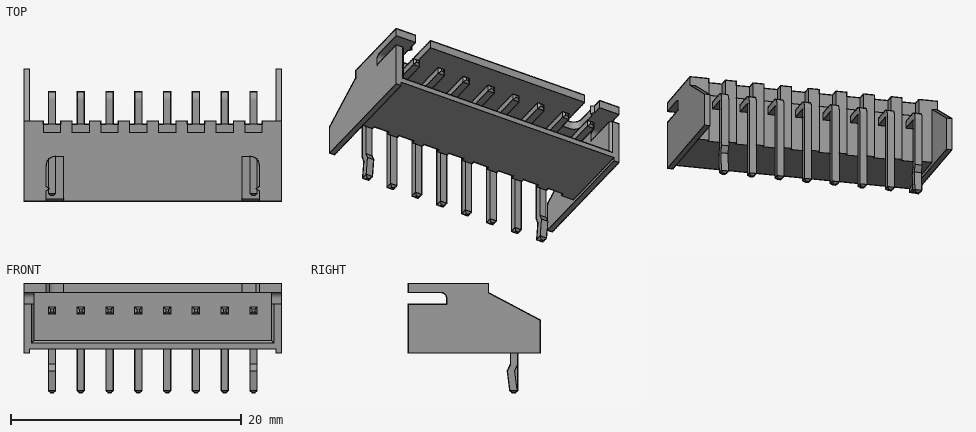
import cadquery as cq


width = 22.4
top_z = 6.05
total_height = 9.5
roof_thickness = 0.8
roof_underside = top_z - roof_thickness
shroud_depth = 7.0
total_depth = 11.5
foot_height = 0.35
wing_thickness = 0.5
wing_rear_z = 2.87

side_wall = 0.87
floor_thickness = 0.73
floor_z = foot_height + floor_thickness
cavity_depth = 5.2
mouth_chamfer = 0.22

window_depth = 3.35
window_bottom = 4.25
window_fillet = 0.5

key_offset = 1.95
key_width = 1.5
key_depth = 3.9
key_radius = 0.75
ridge_y = 1.1
ridge_half_length = 0.2
ridge_height = 0.28

pin_count = 8
pitch = 2.5
pin_size = 0.64
pin_z = 3.7
pin_front_y = 0.5
pin_rear_y = 9.53
pin_bottom_z = top_z - total_height
bend_radius = 0.75
tip_length = 0.2
tip_size = 0.23
kink_top_z = -0.95
kink_peak_z = -1.55
kink_shift = 0.28
kink_end_shift = 0.06

recess_width = 1.5
recess_depth = 0.3
notch_depth = 1.03
notch_floor_z = 4.6

pin_positions = [pitch * (i - (pin_count - 1) / 2) for i in range(pin_count)]
half_width = width / 2


def box(x0, x1, y0, y1, z0, z1):
    """Axis-aligned block given by its limits."""
    return cq.Workplane("XY").box(x1 - x0, y1 - y0, z1 - z0, centered=False).translate((x0, y0, z0))


def side_profile(points, x_start, thickness):
    """Extrude a closed (y, z) outline along +X."""
    return cq.Workplane("YZ", origin=(x_start, 0, 0)).polyline(points).close().extrude(thickness)


def mirrored(shape):
    """Both the given shape and its reflection across the YZ plane."""
    return shape.union(shape.mirror("YZ"))


def housing_blank():
    """Solid shroud with a wing on each side that also forms the feet."""
    shroud = box(-half_width, half_width, 0, shroud_depth, foot_height, top_z)
    wing_outline = [
        (0, 0),
        (total_depth, 0),
        (total_depth, wing_rear_z),
        (shroud_depth, roof_underside),
        (0, roof_underside),
    ]
    wing = side_profile(wing_outline, -half_width, wing_thickness)
    return shroud.union(mirrored(wing))


def cavity_section(half_span, bottom_z):
    """Corners of a cavity cross-section reaching up to the roof."""
    return [
        (-half_span, bottom_z),
        (half_span, bottom_z),
        (half_span, roof_underside),
        (-half_span, roof_underside),
    ]


def cavity():
    """Open room for the plug, flared at the floor and sides of its mouth."""
    inner_x = half_width - side_wall
    room = box(-inner_x, inner_x, 0, cavity_depth, floor_z, roof_underside)
    mouth = (
        cq.Workplane("XZ")
        .polyline(cavity_section(inner_x + mouth_chamfer, floor_z - mouth_chamfer))
        .close()
        .workplane(offset=-mouth_chamfer)
        .polyline(cavity_section(inner_x, floor_z))
        .close()
        .loft(ruled=True)
    )
    return room.union(mouth)


def side_windows():
    """Openings through both side walls, rounded at the upper rear edge."""
    window = box(-half_width, -half_width + side_wall, 0, window_depth, window_bottom, roof_underside)
    window = window.edges("|X and >Y and >Z").fillet(window_fillet)
    return mirrored(window)


def key_slots():
    """Slots in the roof, each with a small triangular ridge on its outer side."""
    outer_x = -half_width + key_offset
    slot = box(outer_x, outer_x + key_width, 0, key_depth, roof_underside, top_z)
    slot = slot.edges("|Z and <X and >Y").fillet(key_radius)
    ridge = (
        cq.Workplane("XY", origin=(0, 0, roof_underside))
        .moveTo(outer_x, ridge_y - ridge_half_length)
        .lineTo(outer_x + ridge_height, ridge_y)
        .lineTo(outer_x, ridge_y + ridge_half_length)
        .close()
        .extrude(roof_thickness)
    )
    return mirrored(slot.cut(ridge))


def pin_recess(x):
    """Shallow rear groove, deepened near the roof into a notch."""
    x0 = x - recess_width / 2
    x1 = x + recess_width / 2
    groove = box(x0, x1, shroud_depth - recess_depth, shroud_depth, foot_height, top_z)
    notch = box(x0, x1, shroud_depth - notch_depth, shroud_depth, notch_floor_z, top_z)
    return groove.union(notch)


def pin_tip(plane):
    """Square taper pointing along the normal of the given plane."""
    return (
        cq.Workplane(plane)
        .rect(pin_size, pin_size)
        .workplane(offset=tip_length)
        .rect(tip_size, tip_size)
        .loft(ruled=True)
    )


def pin(x, kinked):
    """L-shaped square pin with tapered ends; a kinked leg snaps into the board."""
    top = pin_z + pin_size / 2
    bottom = pin_z - pin_size / 2
    leg_front = pin_rear_y - pin_size
    front = pin_front_y + tip_length
    leg_end = pin_bottom_z + tip_length
    end_shift = kink_end_shift if kinked else 0
    leg_steps = [(kink_top_z, 0), (kink_peak_z, kink_shift)] if kinked else []
    leg_steps.append((leg_end, end_shift))

    outline = (
        cq.Workplane("YZ", origin=(x - pin_size / 2, 0, 0))
        .moveTo(front, bottom)
        .lineTo(front, top)
        .lineTo(pin_rear_y - bend_radius, top)
        .radiusArc((pin_rear_y, top - bend_radius), bend_radius)
    )
    for z, shift in leg_steps:
        outline = outline.lineTo(pin_rear_y - shift, z)
    for z, shift in reversed(leg_steps):
        outline = outline.lineTo(leg_front - shift, z)
    body = outline.lineTo(leg_front, bottom).close().extrude(pin_size)

    front_tip = pin_tip("XZ").translate((x, front, pin_z))
    leg_centre = pin_rear_y - pin_size / 2 - end_shift
    leg_tip = pin_tip("XY").mirror("XY").translate((x, leg_centre, leg_end))
    return body.union(front_tip).union(leg_tip)


result = housing_blank().cut(cavity()).cut(side_windows()).cut(key_slots())
for pin_x in pin_positions:
    result = result.cut(pin_recess(pin_x))
for pin_x in pin_positions:
    is_end_pin = pin_x in (pin_positions[0], pin_positions[-1])
    result = result.union(pin(pin_x, is_end_pin))